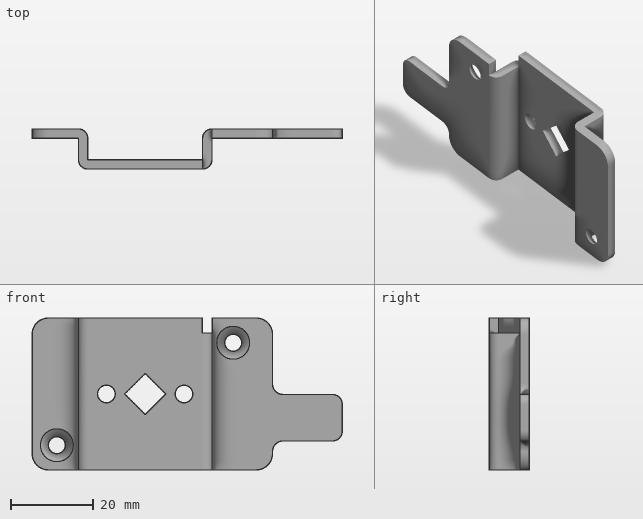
import cadquery as cq

length = 75.5
height = 37.0
depth = 9.8
thickness = 2.35

channel_left = 11.25
channel_right = 43.8
channel_center = (channel_left + channel_right) / 2
bend_radius = thickness

flange_end = 58.5
flange_corner_radius = 4.0
tab_bottom = 7.0
tab_top = 18.4
tab_radius = 2.5

slot_depth = 3.6

mount_hole_diameter = 4.1
countersink_diameter = 8.0
countersink_angle = 90
mount_edge_distance = 6.05
right_mount_x = 48.9

floor_hole_diameter = 4.2
floor_hole_offset = 9.4
square_side = 7.0


def rectangle(left, right, bottom, top):
    """Block through the whole depth, given by its limits along X and Z."""
    return cq.Workplane("XY").box(right - left, depth, top - bottom, centered=False).translate(
        (left, -depth, bottom)
    )


def bent_strip():
    """Sheet profile, rounded outside and sharp inside each bend, with its back at Y = 0."""
    strip = (
        cq.Workplane("XY")
        .moveTo(0, 0)
        .lineTo(channel_left + thickness, 0)
        .lineTo(channel_left + thickness, thickness - depth)
        .lineTo(channel_right - thickness, thickness - depth)
        .lineTo(channel_right - thickness, 0)
        .lineTo(length, 0)
        .lineTo(length, -thickness)
        .lineTo(channel_right, -thickness)
        .lineTo(channel_right, -depth)
        .lineTo(channel_left, -depth)
        .lineTo(channel_left, -thickness)
        .lineTo(0, -thickness)
        .close()
        .extrude(height)
    )
    outer_bends = [
        (channel_left + thickness, 0),
        (channel_right - thickness, 0),
        (channel_left, -depth),
        (channel_right, -depth),
    ]
    for x, y in outer_bends:
        edge = cq.selectors.NearestToPointSelector((x, y, height / 2))
        strip = strip.edges("|Z").edges(edge).fillet(bend_radius)
    return strip


def front_outline():
    """Rounded plate with an end tab, extended through the whole depth."""
    plate = rectangle(0, flange_end, 0, height).edges("|Y").fillet(flange_corner_radius)
    tab = rectangle(channel_center, length, tab_bottom, tab_top)
    tab = tab.edges("|Y and >X").fillet(tab_radius)
    outline = plate.union(tab)
    for z in (tab_bottom, tab_top):
        root = cq.selectors.NearestToPointSelector((flange_end, -depth / 2, z))
        outline = outline.edges("|Y").edges(root).fillet(tab_radius)
    return outline


def cut_mount_holes(body):
    """Countersinks open on the front faces of the flanges."""
    front = cq.Workplane("XZ", origin=(0, -thickness, 0))
    centers = [
        (mount_edge_distance, mount_edge_distance),
        (right_mount_x, height - mount_edge_distance),
    ]
    return body.copyWorkplane(front).pushPoints(centers).cskHole(
        mount_hole_diameter, countersink_diameter, countersink_angle, thickness
    )


def floor_openings():
    """Two round holes either side of a square hole standing on its corner."""
    front = cq.Workplane("XZ", origin=(channel_center, 0, height / 2))
    holes = (
        front.pushPoints([(-floor_hole_offset, 0), (floor_hole_offset, 0)])
        .circle(floor_hole_diameter / 2)
        .extrude(depth)
    )
    square = front.transformed(rotate=(0, 0, 45)).rect(square_side, square_side).extrude(depth)
    return holes.union(square)


relief_slot = rectangle(channel_right - thickness, channel_right, height - slot_depth, height)

body = bent_strip().intersect(front_outline())
body = body.cut(relief_slot)
body = cut_mount_holes(body)
result = body.cut(floor_openings())